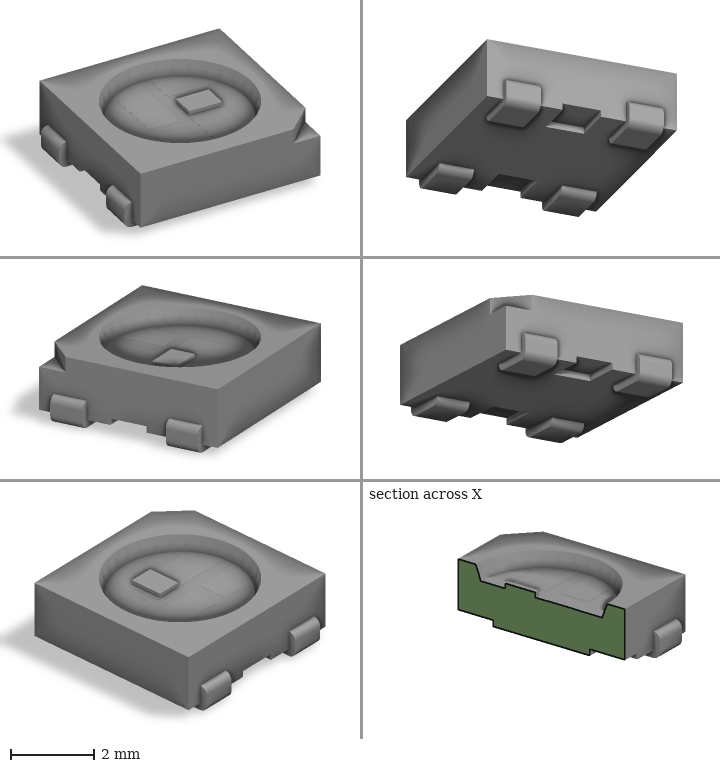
import cadquery as cq

overall_length = 5.35
body_side = 4.95
overall_height = 1.71
lead_thickness = (overall_length - body_side) / 2
half_body = body_side / 2
body_bottom = lead_thickness
body_height = overall_height - body_bottom

well_top_diameter = 3.895
well_floor_diameter = 3.595
well_depth = 0.4
floor_z = overall_height - well_depth

corner_leg = 0.74
corner_depth = well_depth
notch_width = 1.0
notch_height = 0.165

lead_width = 0.9
lead_offset = 1.6
lead_height = 0.7
foot_length = 1.24
notch_depth = foot_length - lead_thickness

pad_thickness = 0.005
pad_radius = 0.065
upper_pad_bottom = 0.175
upper_pad_top = 1.08
upper_left_pad_right = -0.88
upper_right_pad_left = -0.61
upper_right_pad_step = 1.2
lower_pad_top = -0.145
lower_pad_bottom = -0.975
lower_left_pad_step = -1.365
lower_left_pad_right = 0.245
lower_right_pad_left = 0.54
lower_right_pad_step = 1.325
die_left = -0.52
die_right = 0.14
die_height = 0.135


def make_well():
    """Tapered solid that fills the well."""
    return (
        cq.Workplane("XY", origin=(0, 0, floor_z))
        .circle(well_floor_diameter / 2)
        .workplane(offset=well_depth)
        .circle(well_top_diameter / 2)
        .loft()
    )


def make_corner_step():
    """Triangular prism at the +X, +Y top corner."""
    return (
        cq.Workplane("XY", origin=(half_body, half_body, overall_height - corner_depth))
        .polyline([(0, 0), (-corner_leg, 0), (0, -corner_leg)])
        .close()
        .extrude(corner_depth)
    )


def make_notch():
    """Shallow blind notch under the -Y edge of the body."""
    return cq.Workplane("XY", origin=(0, -half_body, body_bottom)).box(
        notch_width, notch_depth, notch_height, centered=(True, False, False)
    )


def make_lead(x_center):
    """L-shaped lead on the -Y side, with quarter-round outer corners."""
    outer = -overall_length / 2
    toe = outer + foot_length
    radius = lead_thickness
    return (
        cq.Workplane("YZ", origin=(x_center - lead_width / 2, 0, 0))
        .moveTo(-half_body, body_bottom)
        .lineTo(-half_body, lead_height)
        .radiusArc((outer, lead_height - radius), -radius)
        .lineTo(outer, radius)
        .radiusArc((outer + radius, 0), -radius)
        .lineTo(toe - radius, 0)
        .radiusArc((toe, radius), -radius)
        .close()
        .extrude(lead_width)
    )


def make_pad(points):
    """Thin pad with rounded corners, trimmed to the wall of the well."""
    pad = (
        cq.Workplane("XY", origin=(0, 0, floor_z))
        .polyline(points)
        .close()
        .extrude(pad_thickness)
        .edges("|Z")
        .fillet(pad_radius)
    )
    return pad.intersect(well)


well = make_well()
reach = well_top_diameter / 2 + 2 * pad_radius

upper_left_pad = [
    (-reach, upper_pad_bottom),
    (upper_left_pad_right, upper_pad_bottom),
    (upper_left_pad_right, reach),
    (-reach, reach),
]
upper_right_pad = [
    (upper_right_pad_left, upper_pad_bottom),
    (reach, upper_pad_bottom),
    (reach, reach),
    (upper_right_pad_step, reach),
    (upper_right_pad_step, upper_pad_top),
    (upper_right_pad_left, upper_pad_top),
]
lower_left_pad = [
    (lower_left_pad_right, lower_pad_top),
    (-reach, lower_pad_top),
    (-reach, -reach),
    (lower_left_pad_step, -reach),
    (lower_left_pad_step, lower_pad_bottom),
    (lower_left_pad_right, lower_pad_bottom),
]
lower_right_pad = [
    (lower_right_pad_left, lower_pad_top),
    (reach, lower_pad_top),
    (reach, -reach),
    (lower_right_pad_step, -reach),
    (lower_right_pad_step, lower_pad_bottom),
    (lower_right_pad_left, lower_pad_bottom),
]

body = cq.Workplane("XY", origin=(0, 0, body_bottom)).box(
    body_side, body_side, body_height, centered=(True, True, False)
)
body = body.cut(well).cut(make_corner_step())
notch = make_notch()
body = body.cut(notch).cut(notch.mirror("XZ"))

for x_center in (-lead_offset, lead_offset):
    lead = make_lead(x_center)
    body = body.union(lead).union(lead.mirror("XZ"))

for points in (upper_left_pad, upper_right_pad, lower_left_pad, lower_right_pad):
    body = body.union(make_pad(points))
die = cq.Workplane("XY", origin=(die_left, upper_pad_bottom, floor_z)).box(
    die_right - die_left, upper_pad_top - upper_pad_bottom, die_height, centered=False
)
result = body.union(die)